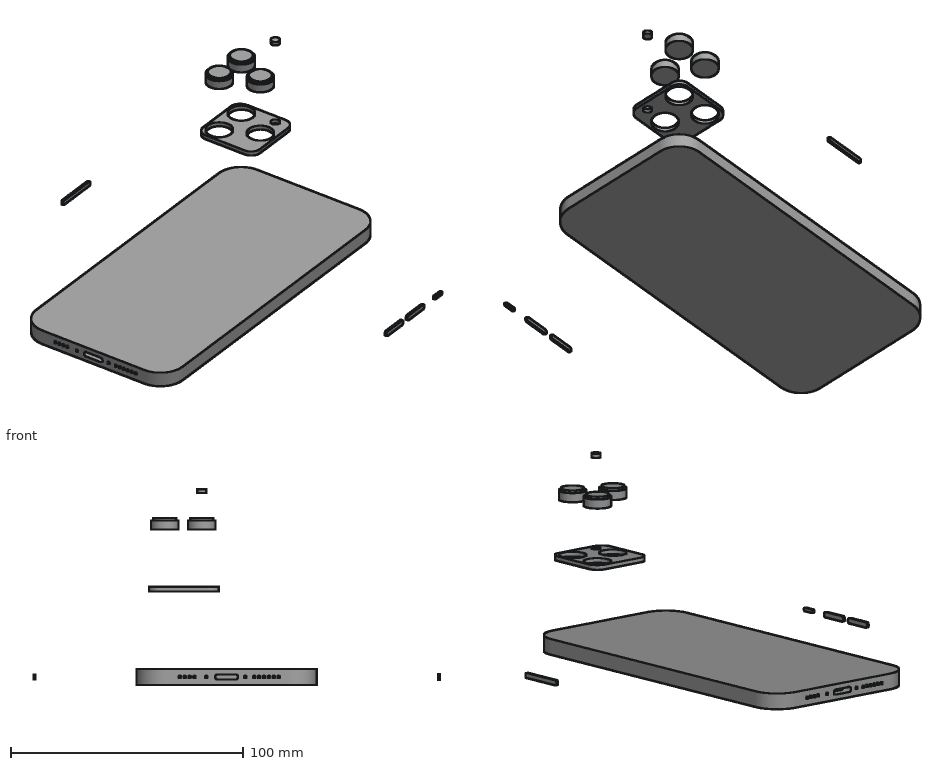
import cadquery as cq
PHONE_WIDTH = 77.8
PHONE_LENGTH = 158.5
PHONE_THICKNESS = 7.0
PHONE_CORNER_RADIUS = 12.0
EDGE_Z = PHONE_THICKNESS / 2

PORT_WIDTH = 9.8
PORT_HEIGHT = 2.3
PORT_DEPTH = 5.3
HOLE_DIAMETER = 1.0
HOLE_DEPTH = 1.8
HOLE_PITCH = 2.1
MICROPHONE_START_X = -20.2
MICROPHONE_COUNT = 4
SPEAKER_START_X = 12.0
SPEAKER_COUNT = 6
LEFT_SCREW_X = -8.8
RIGHT_SCREW_X = 8.0

PLATE_SIZE = 30.1
PLATE_THICKNESS = 2.1
PLATE_CORNER_RADIUS = 4.7
PLATE_CENTER = (-18.4, 58.7)
PLATE_Z = 40.3

LENS_DIAMETER = 12.0
LENS_BASE_HEIGHT = 4.0
LENS_RIM_DIAMETER = 10.0
LENS_RIM_HEIGHT = 1.0
LENS_Z = 67.0
LENS_LEFT_X = -26.6
LENS_RIGHT_X = -10.7
LENS_ROW_SPACING = 16.3
LENS_MIDDLE_Y = 58.9
LENS_CENTERS = [
    (LENS_LEFT_X, LENS_MIDDLE_Y + LENS_ROW_SPACING / 2),
    (LENS_LEFT_X, LENS_MIDDLE_Y - LENS_ROW_SPACING / 2),
    (LENS_RIGHT_X, LENS_MIDDLE_Y),
]

FLASH_DIAMETER = 4.0
FLASH_HEIGHT = 1.8
FLASH_TOP_Z = 84.5
FLASH_CENTER = (LENS_RIGHT_X, 70.0)

OVERALL_WIDTH = 175.2
RIGHT_BUTTON_OUTER_X = 92.0
RIGHT_BUTTON_THICKNESS = 0.9
SWITCH_LENGTH = 6.0
SWITCH_HEIGHT = 1.5
SWITCH_Y = 47.5
VOLUME_LENGTH = 12.8
VOLUME_HEIGHT = 2.5
VOLUME_UP_Y = 30.8
VOLUME_DOWN_Y = 15.2

LEFT_BUTTON_OUTER_X = RIGHT_BUTTON_OUTER_X - OVERALL_WIDTH
LEFT_BUTTON_THICKNESS = 0.9
LEFT_BUTTON_LENGTH = 20.3
LEFT_BUTTON_HEIGHT = 2.3
LEFT_BUTTON_CORNER_RADIUS = 0.9
LEFT_BUTTON_Y = 23.0


def bottom_edge_sketch(x_positions):
    """Workplane on the -Y face with positive extrusion into the phone."""
    plane = cq.Plane(origin=(0, -PHONE_LENGTH / 2, EDGE_Z), xDir=(-1, 0, 0), normal=(0, 1, 0))
    return cq.Workplane(plane).pushPoints([(-x, 0) for x in x_positions])


def make_phone():
    """Rounded slab with a charging port and rows of small holes in its bottom edge."""
    phone = (
        cq.Workplane("XY")
        .rect(PHONE_WIDTH, PHONE_LENGTH)
        .extrude(PHONE_THICKNESS)
        .edges("|Z")
        .fillet(PHONE_CORNER_RADIUS)
    )
    port = bottom_edge_sketch([0]).slot2D(PORT_WIDTH, PORT_HEIGHT).extrude(PORT_DEPTH)
    microphone_xs = [MICROPHONE_START_X + i * HOLE_PITCH for i in range(MICROPHONE_COUNT)]
    speaker_xs = [SPEAKER_START_X + i * HOLE_PITCH for i in range(SPEAKER_COUNT)]
    hole_xs = microphone_xs + [LEFT_SCREW_X, RIGHT_SCREW_X] + speaker_xs
    holes = bottom_edge_sketch(hole_xs).circle(HOLE_DIAMETER / 2).extrude(HOLE_DEPTH)
    return phone.cut(port).cut(holes)


def make_camera_plate():
    """Rounded square plate with through holes for the lenses and the flash."""
    plate = (
        cq.Workplane("XY", origin=(*PLATE_CENTER, PLATE_Z))
        .rect(PLATE_SIZE, PLATE_SIZE)
        .extrude(PLATE_THICKNESS)
        .edges("|Z")
        .fillet(PLATE_CORNER_RADIUS)
    )
    base = cq.Workplane("XY", origin=(0, 0, PLATE_Z))
    lens_holes = base.pushPoints(LENS_CENTERS).circle(LENS_DIAMETER / 2).extrude(PLATE_THICKNESS)
    flash_hole = base.pushPoints([FLASH_CENTER]).circle(FLASH_DIAMETER / 2).extrude(PLATE_THICKNESS)
    return plate.cut(lens_holes).cut(flash_hole)


def make_lens(center):
    """Round lens barrel with a smaller raised disc on top."""
    return (
        cq.Workplane("XY", origin=(*center, LENS_Z))
        .circle(LENS_DIAMETER / 2)
        .extrude(LENS_BASE_HEIGHT)
        .faces(">Z")
        .workplane()
        .circle(LENS_RIM_DIAMETER / 2)
        .extrude(LENS_RIM_HEIGHT)
    )


def make_flash():
    return (
        cq.Workplane("XY", origin=(*FLASH_CENTER, FLASH_TOP_Z - FLASH_HEIGHT))
        .circle(FLASH_DIAMETER / 2)
        .extrude(FLASH_HEIGHT)
    )


def make_right_button(center_y, length, height):
    """Flat bar with fully rounded ends, standing off the +X side."""
    inner_x = RIGHT_BUTTON_OUTER_X - RIGHT_BUTTON_THICKNESS
    return (
        cq.Workplane("YZ", origin=(inner_x, center_y, EDGE_Z))
        .slot2D(length, height)
        .extrude(RIGHT_BUTTON_THICKNESS)
    )


def make_left_button():
    """Flat bar with rounded corners, standing off the -X side."""
    return (
        cq.Workplane("YZ", origin=(LEFT_BUTTON_OUTER_X, LEFT_BUTTON_Y, EDGE_Z))
        .rect(LEFT_BUTTON_LENGTH, LEFT_BUTTON_HEIGHT)
        .extrude(LEFT_BUTTON_THICKNESS)
        .edges("|X")
        .fillet(LEFT_BUTTON_CORNER_RADIUS)
    )


phone = make_phone()
camera_plate = make_camera_plate()
lenses = [make_lens(center) for center in LENS_CENTERS]
flash = make_flash()
mute_switch = make_right_button(SWITCH_Y, SWITCH_LENGTH, SWITCH_HEIGHT)
volume_buttons = [make_right_button(y, VOLUME_LENGTH, VOLUME_HEIGHT) for y in (VOLUME_UP_Y, VOLUME_DOWN_Y)]
left_button = make_left_button()

result = cq.Compound.makeCompound([
    phone.val(),
    camera_plate.val(),
    *[lens.val() for lens in lenses],
    flash.val(),
    mute_switch.val(),
    *[button.val() for button in volume_buttons],
    left_button.val(),
])